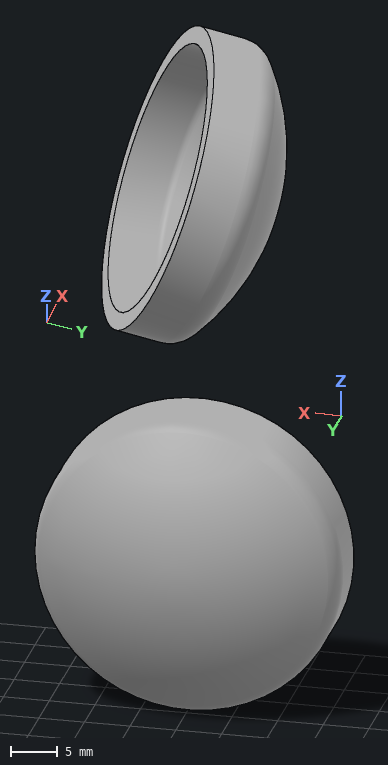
import cadquery as cq
import math

outer_radius = 16.85
total_height = 13.0
skirt_height = 5.1
shoulder_radius = 3.0
wall = 2.0

shoulder_center_x = outer_radius - shoulder_radius
shoulder_center_height = total_height - shoulder_radius

dome_center_y = (shoulder_center_height**2 - shoulder_center_x**2 - skirt_height**2) / (
    2 * (shoulder_center_height - skirt_height)
)
dome_radius = total_height - dome_center_y
tangent_angle = math.atan2(skirt_height - dome_center_y, shoulder_center_x)


def dome_point(radius, angle):
    """Point on a dome arc, with the angle measured up from the radial direction."""
    return (radius * math.cos(angle), dome_center_y + radius * math.sin(angle))


def shoulder_point(radius, angle):
    """Point on a shoulder arc at the given angle."""
    return (
        shoulder_center_x + radius * math.cos(angle),
        skirt_height + radius * math.sin(angle),
    )


def solid_cap(inset):
    """Solid domed cap whose surface lies the given distance inside the outer surface."""
    skirt_radius = outer_radius - inset
    rounding = shoulder_radius - inset
    radius = dome_radius - inset
    mid_dome_angle = (tangent_angle + math.pi / 2) / 2
    return (
        cq.Workplane("XY")
        .lineTo(skirt_radius, 0)
        .lineTo(skirt_radius, skirt_height)
        .threePointArc(
            shoulder_point(rounding, tangent_angle / 2),
            shoulder_point(rounding, tangent_angle),
        )
        .threePointArc(dome_point(radius, mid_dome_angle), (0, total_height - inset))
        .close()
        .revolve(360, (0, 0, 0), (0, 1, 0))
    )


result = solid_cap(0).cut(solid_cap(wall))